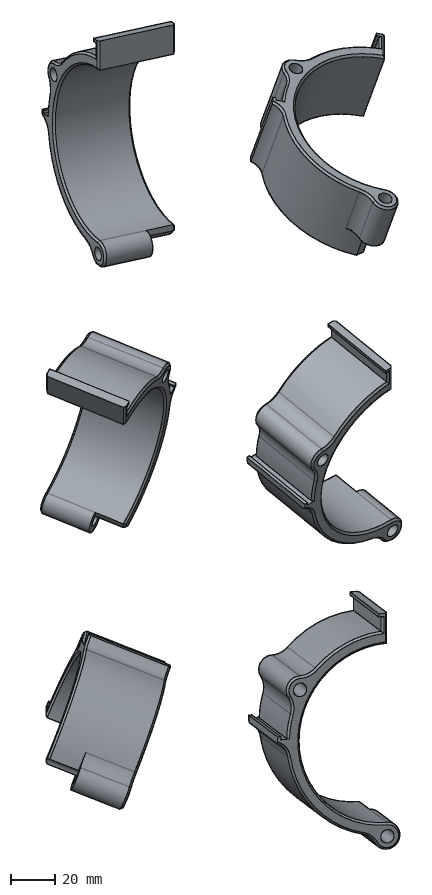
import cadquery as cq
import math

DEPTH = 40.0
INNER_RADIUS = 42.0
OUTER_RADIUS = 48.0
EDGE_CHAMFER = 1.0

BOSS_RADIUS = 6.3
BOSS_PITCH_RADIUS = INNER_RADIUS + BOSS_RADIUS
BOSS_FILLET = 10.0
BOSS_HOLE_DIAMETER = 6.3
SIDE_BOSS_ANGLE = 150.0
END_BOSS_ANGLE = 270.0
END_BOSS_DEPTH = 24.9

PART_HEIGHT = 111.2
PLATE_TOP = PART_HEIGHT - BOSS_PITCH_RADIUS - BOSS_RADIUS
PLATE_THICKNESS = 2.8
PLATE_LIP_REACH = 4.1
LIP_THICKNESS = 1.6

PART_WIDTH = 59.0
LUG_TIP_X = BOSS_RADIUS - PART_WIDTH
LUG_TIP_BOTTOM = -0.5
LUG_FLOOR = 1.6
LUG_TOP = 3.0
LUG_TANGENT_ANGLE = 188.5

TOLERANCE = 0.01


def polar(radius, angle):
    """Point in the XZ plane at an angle in degrees from +X."""
    a = math.radians(angle)
    return (radius * math.cos(a), radius * math.sin(a))


def arc_middle(center, radius, start, end):
    """Middle point of the shorter arc from start to end about center."""
    dx = (start[0] + end[0]) / 2 - center[0]
    dz = (start[1] + end[1]) / 2 - center[1]
    scale = radius / math.hypot(dx, dz)
    return (center[0] + scale * dx, center[1] + scale * dz)


def workplane():
    """Front plane of the part, extruding toward +Y with negative lengths."""
    return cq.Workplane("XZ")


def cylinder(radius, depth, center=(0, 0)):
    return workplane().center(*center).circle(radius).extrude(-depth)


def block(x_min, x_max, z_min, z_max):
    """Box over the whole depth of the part."""
    size = (x_max - x_min, DEPTH, z_max - z_min)
    return cq.Workplane("XY").box(*size, centered=False).translate((x_min, 0, z_min))


def half_ring():
    span = 2 * OUTER_RADIUS
    ring = cylinder(OUTER_RADIUS, DEPTH).cut(cylinder(INNER_RADIUS, DEPTH))
    return ring.intersect(block(-span, 0, -span, span))


def boss(angle, depth, fillet_sides):
    """Boss blended into the ring by tangent arcs on the given sides (+1, -1)."""
    center = polar(BOSS_PITCH_RADIUS, angle)
    to_ring = OUTER_RADIUS + BOSS_FILLET
    to_boss = BOSS_RADIUS + BOSS_FILLET
    cosine = (BOSS_PITCH_RADIUS**2 + to_ring**2 - to_boss**2) / (2 * BOSS_PITCH_RADIUS * to_ring)
    offset = math.degrees(math.acos(cosine))
    body = cylinder(BOSS_RADIUS, depth, center)
    for side in fillet_sides:
        fillet_center = polar(to_ring, angle + side * offset)
        ring_point = polar(OUTER_RADIUS, angle + side * offset)
        share = BOSS_RADIUS / to_boss
        boss_point = tuple(c + share * (f - c) for c, f in zip(center, fillet_center))
        middle = arc_middle(fillet_center, BOSS_FILLET, ring_point, boss_point)
        root = polar((INNER_RADIUS + OUTER_RADIUS) / 2, angle + side * offset)
        web = (
            workplane().moveTo(*center).lineTo(*boss_point)
            .threePointArc(middle, ring_point).lineTo(*root).close().extrude(-depth)
        )
        body = body.union(web)
    return body


def upper_plate():
    plate = block(-PLATE_THICKNESS, 0, (INNER_RADIUS + OUTER_RADIUS) / 2, PLATE_TOP)
    return plate.union(block(-PLATE_LIP_REACH, 0, PLATE_TOP - LIP_THICKNESS, PLATE_TOP))


def side_lug():
    """Lug with an upturned lip and an underside arc tangent to the ring."""
    root_x = -(INNER_RADIUS + OUTER_RADIUS) / 2
    tangent_point = polar(OUTER_RADIUS, LUG_TANGENT_ANGLE)
    tip = (LUG_TIP_X, LUG_TIP_BOTTOM)
    chord = (tip[0] - tangent_point[0], tip[1] - tangent_point[1])
    normal = polar(1.0, LUG_TANGENT_ANGLE)
    radius = (chord[0]**2 + chord[1]**2) / (2 * (chord[0] * normal[0] + chord[1] * normal[1]))
    arc_center = polar(OUTER_RADIUS + radius, LUG_TANGENT_ANGLE)
    middle = arc_middle(arc_center, radius, tangent_point, tip)
    return (
        workplane().moveTo(root_x, LUG_FLOOR).lineTo(root_x, tangent_point[1])
        .lineTo(*tangent_point)
        .threePointArc(middle, tip)
        .lineTo(LUG_TIP_X, LUG_TOP).lineTo(LUG_TIP_X + LIP_THICKNESS, LUG_TOP)
        .lineTo(LUG_TIP_X + LIP_THICKNESS, LUG_FLOOR).close().extrude(-DEPTH)
    )


def is_chamfered(edge):
    """True for rim edges, apart from those of the two hooked lips."""
    box = edge.BoundingBox()
    above_underside = box.zmin > LUG_TIP_BOTTOM - TOLERANCE
    below_lip_top = box.zmax < LUG_TOP + TOLERANCE
    on_lug_lip = box.xmax < -INNER_RADIUS and above_underside and below_lip_top
    on_plate_lip = box.zmin > PLATE_TOP - LIP_THICKNESS - TOLERANCE
    return not (on_lug_lip or on_plate_lip)


def chamfer_rims(body):
    rims = body.faces("<Y or >Y").edges().vals()
    return body.newObject([e for e in rims if is_chamfered(e)]).chamfer(EDGE_CHAMFER)


body = half_ring()
body = body.union(boss(SIDE_BOSS_ANGLE, DEPTH, (1, -1)))
body = body.union(boss(END_BOSS_ANGLE, END_BOSS_DEPTH, (-1,)))
body = body.union(upper_plate()).union(side_lug()).clean()
result = chamfer_rims(body)
for angle in (SIDE_BOSS_ANGLE, END_BOSS_ANGLE):
    center = polar(BOSS_PITCH_RADIUS, angle)
    result = result.cut(cylinder(BOSS_HOLE_DIAMETER / 2, DEPTH, center))